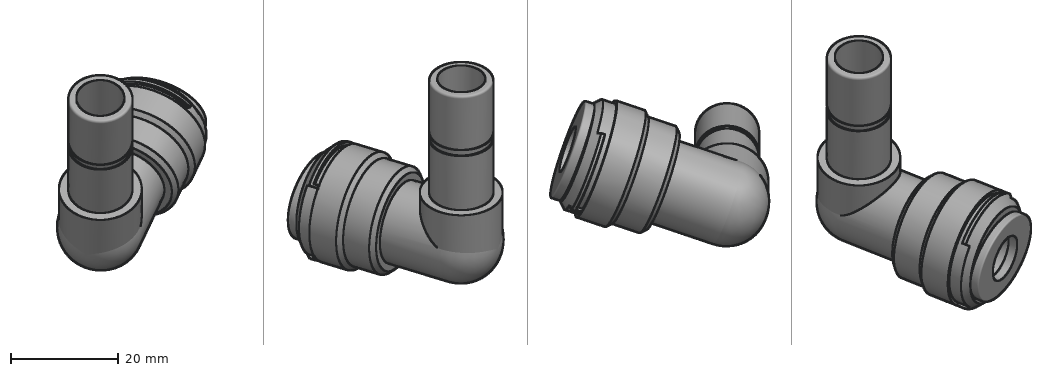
import cadquery as cq
import math

arm_radius = 8.1
collar_radius = 7.75
collar_top = 10.8
bore_radius = 4.5

stem_radius = 6.0
stem_top = 36.2
stem_tip_round = 0.5
groove_top = stem_top - 11.95
groove_height = 1.35
groove_depth = 0.1

shoulder_radius = 10.55
shoulder_back = 12.85
barrel_radius = 11.5
barrel_back = 19.3
socket_front = 25.95
shoulder_chamfer = 0.95

cap_radius = 10.88
cap_front_radius = 9.65
cap_front = 29.7
flange_radius = barrel_radius
flange_back = 27.1
flange_span = 90.0
hook_span = 2.8

collet_half_width = 9.8
collet_half_height = 8.0
collet_front = 31.6
collet_round = 0.3


def revolve_about_y(points):
    """Turn a closed (radius, y) outline a full circle about the Y axis."""
    return cq.Workplane("XY").polyline(points).close().revolve(360, (0, 0), (0, 1))


def y_cylinder(radius, start, end):
    return cq.Workplane("XZ", origin=(0, start, 0)).circle(radius).extrude(start - end)


def y_sector(radius, start, end, from_angle, span):
    """Pie-shaped prism along Y; angles turn from +X towards +Z."""
    def rim(angle):
        turn = math.radians(angle)
        return (radius * math.cos(turn), radius * math.sin(turn))

    pie = (
        cq.Workplane("XZ", origin=(0, start, 0))
        .lineTo(*rim(from_angle))
        .threePointArc(rim(from_angle + span / 2), rim(from_angle + span))
        .close()
    )
    return pie.extrude(start - end)


def make_stem():
    """Stem tube with a shallow ring groove whose lower edge is bevelled."""
    groove_bottom = groove_top - groove_height
    outline = (
        cq.Workplane("XZ")
        .lineTo(stem_radius, 0)
        .lineTo(stem_radius, groove_bottom)
        .lineTo(stem_radius - groove_depth, groove_bottom + groove_depth)
        .lineTo(stem_radius - groove_depth, groove_top)
        .lineTo(stem_radius, groove_top)
        .lineTo(stem_radius, stem_top)
        .lineTo(0, stem_top)
        .close()
    )
    stem = outline.revolve(360, (0, 0), (0, 1))
    return stem.faces(">Z").edges().fillet(stem_tip_round)


def make_arm():
    """Horizontal arm of the elbow, with a rounded end that leaves a tiny flat tip."""
    arm = y_cylinder(arm_radius, -collar_radius, shoulder_back)
    return arm.faces("<Y").edges().fillet(collar_radius)


def make_socket():
    barrel_chamfer = barrel_radius - shoulder_radius
    return revolve_about_y([
        (0, shoulder_back),
        (shoulder_radius - shoulder_chamfer, shoulder_back),
        (shoulder_radius, shoulder_back + shoulder_chamfer),
        (shoulder_radius, barrel_back),
        (barrel_radius, barrel_back + barrel_chamfer),
        (barrel_radius, socket_front),
        (0, socket_front),
    ])


def make_elbow():
    collar = cq.Workplane("XY").circle(collar_radius).extrude(collar_top)
    body = make_arm().union(make_socket()).union(collar).union(make_stem())
    stem_bore = cq.Workplane("XY").circle(bore_radius).extrude(stem_top)
    bore_corner = cq.Workplane("XY").sphere(bore_radius)
    socket_bore = y_cylinder(bore_radius, 0, socket_front)
    return body.cut(stem_bore.union(socket_bore).union(bore_corner))


def make_cap():
    cone_back = cap_front - (flange_radius - cap_front_radius)
    envelope = revolve_about_y([
        (0, socket_front),
        (flange_radius, socket_front),
        (flange_radius, cone_back),
        (cap_front_radius, cap_front),
        (0, cap_front),
    ])
    core = y_cylinder(cap_radius, socket_front, cap_front)
    sector_radius = 2 * flange_radius
    for middle_angle in (90, 270):
        flange_end = middle_angle + flange_span / 2
        flange = y_sector(sector_radius, flange_back, cap_front, flange_end - flange_span, flange_span)
        hook = y_sector(sector_radius, socket_front, cap_front, flange_end - hook_span, hook_span)
        core = core.union(flange).union(hook)
    bore = y_cylinder(bore_radius, socket_front, cap_front)
    return envelope.intersect(core).cut(bore)


def make_collet():
    flange = (
        cq.Workplane("XZ", origin=(0, cap_front, 0))
        .ellipse(collet_half_width, collet_half_height)
        .extrude(cap_front - collet_front)
    )
    flange = flange.edges().fillet(collet_round)
    return flange.cut(y_cylinder(bore_radius, cap_front, collet_front))


elbow = make_elbow()
cap = make_cap()
collet = make_collet()

result = cq.Compound.makeCompound([elbow.solids().val(), cap.solids().val(), collet.solids().val()])